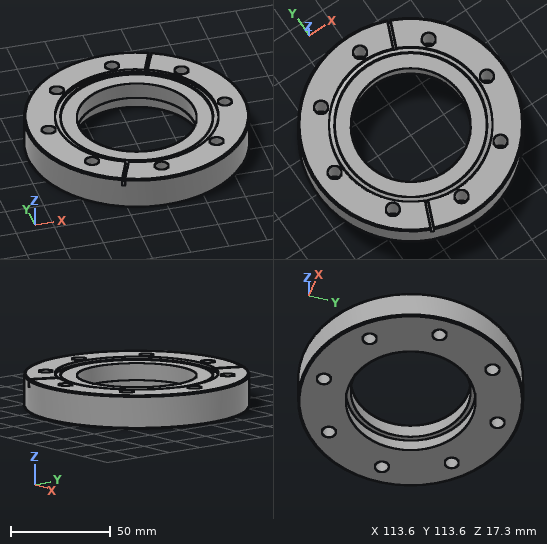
import cadquery as cq

outer_radius = 56.8
thickness = 17.3
edge_chamfer = 0.7

bore_radius = 30.2
socket_radius = 32.7
socket_depth = 7.4

recess_radius = 41.2
recess_depth = 1.5
knife_radius = 38.6
knife_depth = 0.7
inner_face_radius = 38.3
inner_face_depth = 1.1

bolt_count = 8
bolt_circle_radius = 46.1
bolt_hole_diameter = 7.0

slot_width = 1.6
slot_depth = 3.7
slot_inset = 0.2
slot_angle = 1.5 * 360 / bolt_count


def make_flange():
    """Revolve the half section, including the bore, recess and knife edge."""
    section = (
        cq.Workplane("XZ")
        .moveTo(socket_radius, 0)
        .lineTo(outer_radius - edge_chamfer, 0)
        .lineTo(outer_radius, edge_chamfer)
        .lineTo(outer_radius, thickness - edge_chamfer)
        .lineTo(outer_radius - edge_chamfer, thickness)
        .lineTo(recess_radius, thickness)
        .lineTo(recess_radius, thickness - recess_depth)
        .lineTo(knife_radius, thickness - knife_depth)
        .lineTo(inner_face_radius, thickness - inner_face_depth)
        .lineTo(bore_radius, thickness - inner_face_depth)
        .lineTo(bore_radius, socket_depth)
        .lineTo(socket_radius, socket_depth)
        .close()
    )
    return section.revolve(360, (0, 0, 0), (0, 1, 0))


def make_bolt_holes():
    return (
        cq.Workplane("XY")
        .polarArray(bolt_circle_radius, 0, 360, bolt_count)
        .circle(bolt_hole_diameter / 2)
        .extrude(thickness)
    )


def make_slot(angle):
    """Radial cutter from just inside the recess wall out past the rim."""
    slot_start = recess_radius - slot_inset
    slot_length = outer_radius + slot_width - slot_start
    return (
        cq.Workplane("XY", origin=(0, 0, thickness - slot_depth))
        .center(slot_start + slot_length / 2, 0)
        .rect(slot_length, slot_width)
        .extrude(slot_depth)
        .rotate((0, 0, 0), (0, 0, 1), angle)
    )


result = make_flange().cut(make_bolt_holes())
for angle in (slot_angle, slot_angle + 180):
    result = result.cut(make_slot(angle))